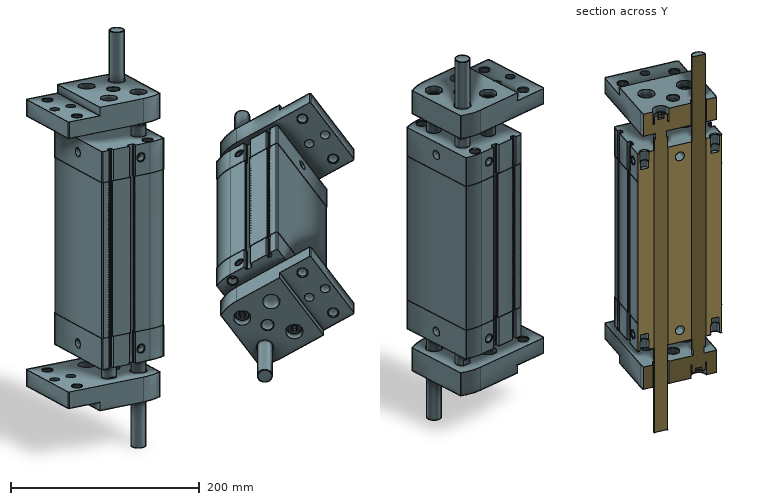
import cadquery as cq
import math


total_length = 454.4
side_arc_radius = 50.0
back_ledge = 0.8
beyond = 1.0

housing_width = 98.0
housing_depth = 79.0
housing_length = 245.0
cap_length = 35.0
front_edge_chamfer = 1.5
tube_inset = 0.2
housing_arc_depth = 19.5

slot_depth = 4.6
slot_lip = 1.5
slot_step_depth = 3.5
side_slots = [
    (-41.0, 5.5, 7.8),
    (-67.5, 2.8, 5.0),
]

cross_hole_diameter = 10.0
cap_hole_from_end = 15.0
port_diameter = 8.57
port_mouth_diameter = 10.11
port_depth = 10.0
port_y = -30.5
drill_tip_angle = 118.0

end_hole_diameter = 10.11
end_hole_mouth_diameter = 12.0
end_hole_depth = 12.0
end_hole_pilot_diameter = 8.38
end_hole_pilot_depth = 20.0
end_hole_x = 41.0
end_hole_y = -17.5

plate_gap = 20.0
plate_width = 86.0
plate_thickness = 28.0
flange_thickness = 18.5
block_depth = 78.0
plate_depth = 117.0
plate_arc_depth = 23.5
flange_corner_chamfer = 1.2

rod_diameter = 16.0
rod_clearance_diameter = 18.0
back_rod_x = 22.0
back_rod_y = -17.25
front_rod_x = 22.5
front_rod_y = -54.3
front_rod_insertion = cap_length
rod_end_chamfer = 0.5

flat_depth = 1.4
back_flat_length = 6.5
front_flat_length = 0.5

screw_head_diameter = 16.0
screw_head_height = 10.0
screw_recess = 6.0
screw_head_chamfer = 1.5
hex_sides = 6
hex_across_flats = 6.0
hex_mouth_diameter = 8.5
hex_depth = 5.0

centre_hole_diameter = 12.92
centre_hole_mouth_diameter = 14.0
centre_hole_y = -35.0

flange_thread_diameter = 10.11
flange_thread_mouth_diameter = 12.0
flange_thread_x = 30.0
flange_thread_y = -98.5
dowel_diameter = 10.0
dowel_pitch = 20.0
dowel_middle_y = -97.8

housing_end = housing_length / 2
plate_inner = housing_end + plate_gap
plate_outer = plate_inner + plate_thickness
rod_reach = total_length / 2


def cylinder(x, y, z_low, z_high, diameter):
    return cq.Workplane("XY", origin=(x, y, z_low)).circle(diameter / 2).extrude(z_high - z_low)


def cone_frustum(x, y, z, bottom_diameter, top_diameter):
    """Frustum with 45 degree walls that starts at height z."""
    height = abs(top_diameter - bottom_diameter) / 2
    profile = [
        (0, 0),
        (bottom_diameter / 2, 0),
        (top_diameter / 2, height),
        (0, height),
    ]
    frustum = cq.Workplane("XZ").polyline(profile).close().revolve(360, (0, 0), (0, 1))
    return frustum.translate((x, y, z))


def bulged_outline(width, depth, arc_depth, back_y=0.0):
    """Rectangle whose back corners are arcs that run smoothly into the straight sides."""
    half = width / 2
    arc_start_y = -arc_depth

    def arc_x(y):
        rise = y - arc_start_y
        return half - side_arc_radius + math.sqrt(side_arc_radius ** 2 - rise ** 2)

    arc_end_y = back_y - back_ledge
    arc_middle_y = (arc_start_y + arc_end_y) / 2
    return (
        cq.Workplane("XY")
        .moveTo(-half, -depth)
        .lineTo(half, -depth)
        .lineTo(half, arc_start_y)
        .threePointArc((arc_x(arc_middle_y), arc_middle_y), (arc_x(arc_end_y), arc_end_y))
        .lineTo(arc_x(arc_end_y), back_y)
        .lineTo(-arc_x(arc_end_y), back_y)
        .lineTo(-arc_x(arc_end_y), arc_end_y)
        .threePointArc((-arc_x(arc_middle_y), arc_middle_y), (-half, arc_start_y))
        .close()
    )


def half_turn(shape):
    """Move a shape from the upper end to the lower end."""
    return shape.rotate((0, 0, 0), (0, 1, 0), 180)


def side_groove(y, width, depth, setback=0.0):
    """Matching full-length grooves in both X sides, cut from a set-back plane inwards."""
    grooves = cq.Workplane("XY")
    for side in (-1, 1):
        middle_x = side * (housing_width - depth - setback) / 2
        groove = cq.Workplane("XY").box(depth - setback, width, housing_length)
        grooves = grooves.union(groove.translate((middle_x, y, 0)))
    return grooves


def cut_tube_slots(tube):
    """T slots: a narrow mouth between thin lips, wider behind."""
    for y, mouth_width, wide_width in side_slots:
        tube = tube.cut(side_groove(y, mouth_width, slot_depth))
        tube = tube.cut(side_groove(y, wide_width, slot_depth, slot_lip))
    return tube


def cut_cap_slots(cap):
    """Stepped slots: wide at the side face, narrow at the bottom."""
    for y, mouth_width, wide_width in side_slots:
        cap = cap.cut(side_groove(y, mouth_width, slot_depth))
        cap = cap.cut(side_groove(y, wide_width, slot_step_depth))
    return cap


def make_tube():
    length = housing_length - 2 * cap_length
    outline = bulged_outline(
        housing_width - 2 * tube_inset, housing_depth - tube_inset, housing_arc_depth, -tube_inset
    )
    tube = outline.extrude(length).translate((0, 0, -length / 2))
    tube = tube.edges("|Z and <Y").chamfer(front_edge_chamfer)
    return cut_tube_slots(tube)


def side_port(side):
    """Port with a chamfered mouth and a drilled tip, running in from one X side."""
    bore = port_diameter / 2
    mouth = port_mouth_diameter / 2
    tip = bore / math.tan(math.radians(drill_tip_angle / 2))
    profile = [
        (0, 0),
        (mouth, 0),
        (bore, mouth - bore),
        (bore, port_depth),
        (0, port_depth + tip),
    ]
    port = cq.Workplane("XY").polyline(profile).close().revolve(360, (0, 0), (0, 1))
    port = port.rotate((0, 0, 0), (0, 0, 1), side * 90)
    return port.translate((side * housing_width / 2, port_y, housing_end - cap_hole_from_end))


def end_hole(side):
    x = side * end_hole_x
    hole = cylinder(x, end_hole_y, housing_end - end_hole_depth, housing_end, end_hole_diameter)
    pilot = cylinder(
        x, end_hole_y, housing_end - end_hole_pilot_depth, housing_end, end_hole_pilot_diameter
    )
    mouth_depth = (end_hole_mouth_diameter - end_hole_diameter) / 2
    mouth = cone_frustum(
        x, end_hole_y, housing_end - mouth_depth, end_hole_diameter, end_hole_mouth_diameter
    )
    return hole.union(pilot).union(mouth)


def make_cap():
    """End cap at the upper end of the housing."""
    low = housing_end - cap_length
    cap = bulged_outline(housing_width, housing_depth, housing_arc_depth).extrude(cap_length)
    cap = cap.translate((0, 0, low))
    cap = cap.edges("|Z and <Y").chamfer(front_edge_chamfer)
    cap = cut_cap_slots(cap)
    cross_hole = cq.Workplane("XZ", origin=(0, 0, housing_end - cap_hole_from_end))
    cap = cap.cut(cross_hole.circle(cross_hole_diameter / 2).extrude(housing_depth))
    for side in (-1, 1):
        cap = cap.cut(side_port(side)).cut(end_hole(side))
    return cap


def make_housing():
    cap = make_cap()
    housing = make_tube().union(cap).union(half_turn(cap))
    for x in (-back_rod_x, back_rod_x):
        housing = housing.cut(cylinder(x, back_rod_y, -housing_end, housing_end, rod_diameter))
    front_bore = cylinder(
        -front_rod_x, front_rod_y, housing_end - front_rod_insertion, housing_end, rod_diameter
    )
    return housing.cut(front_bore).cut(half_turn(front_bore))


def make_plate():
    outline = bulged_outline(plate_width, plate_depth, plate_arc_depth)
    plate = outline.extrude(plate_thickness).translate((0, 0, plate_inner))
    plate = plate.edges("|Z and <Y").chamfer(flange_corner_chamfer)
    step = cq.Workplane("XY").box(
        plate_width, plate_depth, plate_thickness, centered=(True, False, False)
    )
    step = step.translate((0, -block_depth - plate_depth, plate_inner + flange_thickness))
    return plate.cut(step)


def threaded_hole(x, y, top, diameter, mouth_diameter):
    """Through hole chamfered on both faces of the plate."""
    chamfer = (mouth_diameter - diameter) / 2
    hole = cylinder(x, y, plate_inner, top, diameter)
    hole = hole.union(cone_frustum(x, y, plate_inner, mouth_diameter, diameter))
    return hole.union(cone_frustum(x, y, top - chamfer, diameter, mouth_diameter))


def plate_holes():
    flange_top = plate_inner + flange_thickness
    holes = threaded_hole(
        0, centre_hole_y, plate_outer, centre_hole_diameter, centre_hole_mouth_diameter
    )
    for side in (-1, 1):
        thread = threaded_hole(
            side * flange_thread_x,
            flange_thread_y,
            flange_top,
            flange_thread_diameter,
            flange_thread_mouth_diameter,
        )
        dowel_y = dowel_middle_y + side * dowel_pitch / 2
        holes = holes.union(thread).union(cylinder(0, dowel_y, plate_inner, flange_top, dowel_diameter))
    for x, y in ((-back_rod_x, back_rod_y), (front_rod_x, front_rod_y)):
        holes = holes.union(cylinder(x, y, plate_inner, plate_outer, rod_clearance_diameter))
    return holes


def screw_pocket(x, y):
    """Counterbore in the plate with the fixing screw's socket head left standing in it."""
    head_top = plate_outer - screw_recess
    seat = head_top - screw_head_height
    head = cylinder(x, y, seat, head_top, screw_head_diameter)
    head = head.faces(">Z").chamfer(screw_head_chamfer)
    across_corners = hex_across_flats / math.cos(math.pi / hex_sides)
    socket = cq.Workplane("XY", origin=(x, y, head_top - hex_depth)).polygon(hex_sides, across_corners)
    head = head.cut(socket.extrude(hex_depth))
    lead_in = (hex_mouth_diameter - hex_across_flats) / 2
    head = head.cut(cone_frustum(x, y, head_top - lead_in, hex_across_flats, hex_mouth_diameter))
    return cylinder(x, y, seat, plate_outer, rod_clearance_diameter).cut(head)


def make_rod(x, y, z_low, flat_length):
    """Rod hanging below the plate, with spanner flats that run out at 45 degrees."""
    rod = cylinder(x, y, z_low, plate_inner, rod_diameter)
    rod = rod.faces("<Z").chamfer(rod_end_chamfer)
    radius = rod_diameter / 2
    for side in (-1, 1):
        profile = [
            (side * (radius - flat_depth), 0),
            (side * (radius - flat_depth), -flat_length),
            (side * radius, -flat_length - flat_depth),
            (side * (radius + beyond), -flat_length - flat_depth),
            (side * (radius + beyond), 0),
        ]
        cutter = cq.Workplane("XZ").polyline(profile).close().extrude(radius, both=True)
        rod = rod.cut(cutter.translate((x, y, plate_inner)))
    return rod


def make_slide():
    slide = make_plate().cut(plate_holes())
    for x, y in ((back_rod_x, back_rod_y), (-front_rod_x, front_rod_y)):
        slide = slide.cut(screw_pocket(x, y))
    slide = slide.union(make_rod(back_rod_x, back_rod_y, -rod_reach, back_flat_length))
    front_rod_low = housing_end - front_rod_insertion
    return slide.union(make_rod(-front_rod_x, front_rod_y, front_rod_low, front_flat_length))


housing = make_housing()
upper_slide = make_slide()
slides = []
for angle in (0, 180):
    slides.append(upper_slide.rotate((0, 0, 0), (0, 1, 0), angle))

result = cq.Compound.makeCompound([housing.val(), *[slide.val() for slide in slides]])